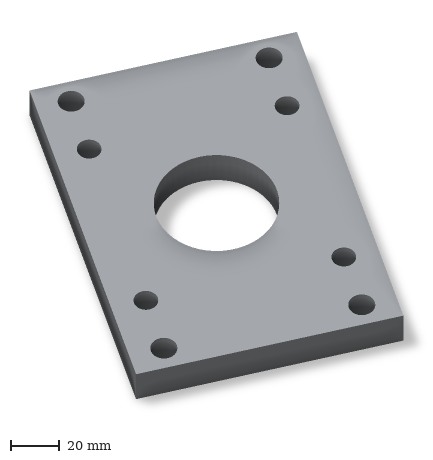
import cadquery as cq

length = 158.8
width = 114.3
thickness = 15.9

bore_diameter = 51.6

inner_spacing = 84.6
inner_diameter = 10.2

outer_spacing = 138.1
outer_diameter = 11.1


def drill_four(body, spacing_x, spacing_y, diameter):
    """Drill four through holes at the corners of a centred rectangle."""
    return (
        body.faces(">Z")
        .workplane(origin=(0, 0, 0))
        .rect(spacing_x, spacing_y, forConstruction=True)
        .vertices()
        .hole(diameter)
    )


plate = cq.Workplane("XY").box(length, width, thickness)
plate = plate.faces(">Z").workplane(origin=(0, 0, 0)).hole(bore_diameter)
plate = drill_four(plate, inner_spacing, inner_spacing, inner_diameter)
plate = drill_four(plate, outer_spacing, inner_spacing, outer_diameter)

result = plate